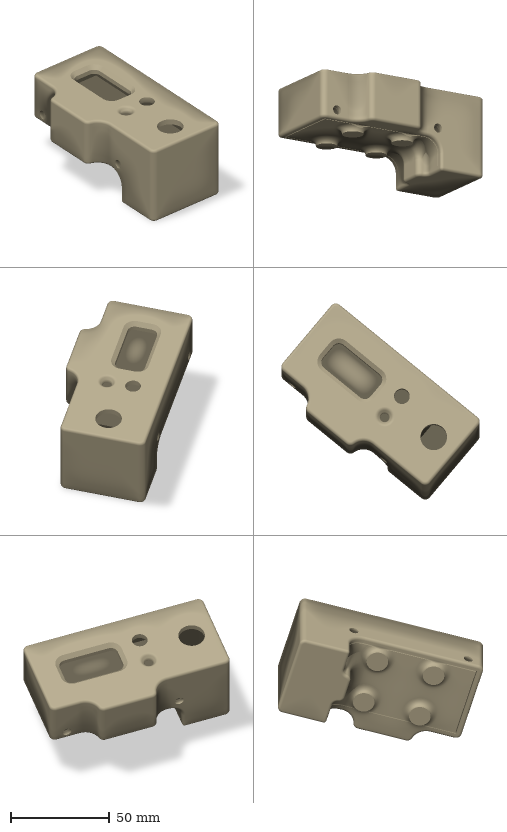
import cadquery as cq
import math

LENGTH = 97.2
DEPTH = 44.7
HEIGHT = 42.8
DECK_Z = 17.1
MID_Y = DEPTH / 2

CORNER_RADIUS = 3.0
EDGE_RADIUS = 1.5
SWEEP_RADIUS = 8.0

BULGE_REACH = 8.5
BULGE_X = 39.1
BULGE_FLAT = 25.4

LEG_X = 71.15
RIB_REACH = 5.0
RIB_FLAT = 10.0

WALL = 3.0
LID_GAP = 0.5
SIDE_WALL = 5.4
FLOOR_Z = 27.6
ROOF_Z = HEIGHT - WALL
LEG_PLATE = 2.9

WINDOW_X = 29.6
WINDOW_LENGTH = 35.5
WINDOW_WIDTH = 19.6
WINDOW_RADIUS = 5.8
WINDOW_CHAMFER = 2.0
WINDOW_DEPTH = 4.5

LARGE_HOLE_X = 83.8
LARGE_HOLE_DIAMETER = 13.5
SMALL_HOLE_X = 57.8
SMALL_HOLE_Y = 28.3
SMALL_HOLE_DIAMETER = 8.0
FUNNEL_X = SMALL_HOLE_X
FUNNEL_Y = 14.6
FUNNEL_DIAMETER = 4.5
FUNNEL_BLEND = 2.0
FUNNEL_SLOPE = 40.0
PIN_HOLE_XS = (8.6, 69.2)
PIN_HOLE_Z = 21.9
PIN_HOLE_DIAMETER = 4.8

FOOT_XS = (24.1, 53.85)
FOOT_OFFSET_Y = 12.5
FOOT_DIAMETER = 11.0
FOOT_HEIGHT = 3.3

OVERLAP = 1.0


def block(x0, x1, y0, y1, z0, z1):
    """Axis-parallel box between the given limits."""
    return cq.Workplane("XY").box(x1 - x0, y1 - y0, z1 - z0, centered=False).translate((x0, y0, z0))


def bump_face(reach, flat, base_radius, tip_radius):
    """Closed plan of a bump on the line y = 0, pointing to -y and centred on x = 0.

    Each side is a concave arc at the base running tangentially into a convex arc at the tip.
    """
    span = base_radius + tip_radius
    run = math.sqrt(span**2 - (span - reach) ** 2)
    turn = math.asin(run / span)
    tip_x = flat / 2
    base_x = tip_x + run
    meet_x = tip_x + tip_radius * math.sin(turn)
    meet_y = -reach + tip_radius * (1 - math.cos(turn))
    tip_mid_x = tip_x + tip_radius * math.sin(turn / 2)
    tip_mid_y = -reach + tip_radius * (1 - math.cos(turn / 2))
    base_mid_x = base_x - base_radius * math.sin(turn / 2)
    base_mid_y = -base_radius * (1 - math.cos(turn / 2))
    return (
        cq.Workplane("XY")
        .moveTo(base_x, 0)
        .threePointArc((base_mid_x, base_mid_y), (meet_x, meet_y))
        .threePointArc((tip_mid_x, tip_mid_y), (tip_x, -reach))
        .lineTo(-tip_x, -reach)
        .threePointArc((-tip_mid_x, tip_mid_y), (-meet_x, meet_y))
        .threePointArc((-base_mid_x, base_mid_y), (-base_x, 0))
        .lineTo(-base_x, OVERLAP)
        .lineTo(base_x, OVERLAP)
        .close()
    )


def stepped_block():
    """Upper block and leg in one profile, joined by a concave sweep."""
    arc_mid = SWEEP_RADIUS * (1 - math.sqrt(0.5))
    profile = (
        cq.Workplane("XZ")
        .moveTo(0, HEIGHT)
        .lineTo(0, DECK_Z)
        .lineTo(LEG_X - SWEEP_RADIUS, DECK_Z)
        .threePointArc((LEG_X - arc_mid, DECK_Z - arc_mid), (LEG_X, DECK_Z - SWEEP_RADIUS))
        .lineTo(LEG_X, 0)
        .lineTo(LENGTH, 0)
        .lineTo(LENGTH, HEIGHT)
        .close()
    )
    solid = profile.extrude(-DEPTH)
    return solid.edges("|Z and <X").fillet(CORNER_RADIUS).edges("|Z and >X").fillet(CORNER_RADIUS)


def front_bulge():
    plan = bump_face(BULGE_REACH, BULGE_FLAT, SWEEP_RADIUS, CORNER_RADIUS)
    return plan.extrude(HEIGHT - DECK_Z).translate((BULGE_X, 0, DECK_Z))


def leg_rib():
    plan = bump_face(RIB_REACH, RIB_FLAT, CORNER_RADIUS, CORNER_RADIUS)
    rib = plan.extrude(DECK_Z + OVERLAP)
    return rib.rotate((0, 0, 0), (0, 0, 1), -90).translate((LEG_X, MID_Y, 0))


def rib_flare():
    """Flare that carries the rib out into the underside of the upper block."""
    half_width = RIB_FLAT / 2 + CORNER_RADIUS
    left = LEG_X - RIB_REACH
    right = LEG_X + SWEEP_RADIUS
    front = MID_Y - half_width
    back = MID_Y + half_width
    margin = SWEEP_RADIUS + OVERLAP
    column = block(left, right, front, back, DECK_Z - margin, DECK_Z)
    column = column.edges("|Z").fillet(CORNER_RADIUS)
    plate = block(left - margin, right + margin, front - margin, back + margin, DECK_Z, DECK_Z + OVERLAP)
    around_column = cq.selectors.BoxSelector(
        (left - OVERLAP, front - OVERLAP, DECK_Z - OVERLAP / 2),
        (right + OVERLAP, back + OVERLAP, DECK_Z + OVERLAP / 2),
    )
    flared = plate.union(column).edges(around_column).fillet(SWEEP_RADIUS)
    return flared.intersect(
        block(left - margin, right, front - margin, back + margin, DECK_Z - SWEEP_RADIUS, DECK_Z + OVERLAP)
    )


def lower_rims():
    """Selector for the rims under the upper block, up the sides of the leg and around its bottom."""
    reach = CORNER_RADIUS / 2
    low = -OVERLAP
    high = DECK_Z + OVERLAP / 2
    front = cq.selectors.BoxSelector((low, -BULGE_REACH - reach, low), (LENGTH + reach, reach, high))
    back = cq.selectors.BoxSelector((low, DEPTH - reach, low), (LENGTH + reach, DEPTH + reach, high))
    left = cq.selectors.BoxSelector((low, low, low), (reach, DEPTH + reach, high))
    leg_bottom = cq.selectors.BoxSelector((0, 0, low), (LENGTH + OVERLAP, DEPTH, OVERLAP / 2))
    return front + back + left + leg_bottom


def outer_shape():
    """Closed outer form of housing and lid together, without feet."""
    solid = stepped_block().union(front_bulge()).union(leg_rib())
    solid = solid.faces(">Z").edges().fillet(EDGE_RADIUS)
    solid = solid.edges(lower_rims()).fillet(EDGE_RADIUS)
    return solid.union(rib_flare())


def pin_holes():
    """Two holes running front to back through housing and lid."""
    return (
        cq.Workplane("XZ")
        .pushPoints([(x, PIN_HOLE_Z) for x in PIN_HOLE_XS])
        .circle(PIN_HOLE_DIAMETER / 2)
        .extrude(-DEPTH)
    )


def window_outline(inset):
    """Rounded window outline, drawn in by the given inset."""
    return (
        cq.Sketch()
        .rect(WINDOW_LENGTH - 2 * inset, WINDOW_WIDTH - 2 * inset)
        .vertices()
        .fillet(WINDOW_RADIUS - inset)
    )


def window_prism(inset):
    """Straight prism of the window outline, from the inner end of the window to the top face."""
    base = cq.Workplane("XY", origin=(WINDOW_X, MID_Y, HEIGHT - WINDOW_DEPTH))
    return base.placeSketch(window_outline(inset)).extrude(WINDOW_DEPTH)


def window_opening():
    """Through opening with a 45 degree chamfer at the outside."""
    top = cq.Workplane("XY", origin=(WINDOW_X, MID_Y, HEIGHT))
    mouth = top.placeSketch(window_outline(0)).extrude(-WINDOW_CHAMFER, taper=45)
    return window_prism(WINDOW_CHAMFER).union(mouth)


def round_opening(x, y, diameter):
    return cq.Workplane("XY", origin=(x, y, FLOOR_Z)).circle(diameter / 2).extrude(HEIGHT - FLOOR_Z)


def funnel_opening():
    """Round hole widening upward through a rounded throat, a cone and a rounded mouth."""
    slope = math.radians(FUNNEL_SLOPE)
    bore = FUNNEL_DIAMETER / 2
    cone_height = WALL - FUNNEL_BLEND
    throat_x = bore + FUNNEL_BLEND
    mouth_x = throat_x + cone_height * math.tan(slope)
    mouth_z = HEIGHT - FUNNEL_BLEND

    def rounding(center_x, center_z, angle):
        """Point of a rounding, with the angle measured from the side facing the axis."""
        return (center_x - FUNNEL_BLEND * math.cos(angle), center_z + FUNNEL_BLEND * math.sin(angle))

    return (
        cq.Workplane("XZ")
        .moveTo(0, FLOOR_Z)
        .lineTo(bore, FLOOR_Z)
        .lineTo(bore, ROOF_Z)
        .threePointArc(rounding(throat_x, ROOF_Z, slope / 2), rounding(throat_x, ROOF_Z, slope))
        .lineTo(*rounding(mouth_x, mouth_z, slope))
        .threePointArc(rounding(mouth_x, mouth_z, (slope + math.pi / 2) / 2), (mouth_x, HEIGHT))
        .lineTo(0, HEIGHT)
        .close()
        .revolve(360, (0, 0), (0, 1))
        .translate((FUNNEL_X, FUNNEL_Y, 0))
    )


def make_housing(shape):
    """Hollow upper shell that reaches down around the leg to the lid's bottom plate."""
    lid_room = block(WALL, LENGTH - WALL, WALL, DEPTH - WALL, 0, FLOOR_Z)
    lid_room = lid_room.union(block(0, LENGTH, 0, DEPTH, 0, LEG_PLATE))
    cavity = block(WALL, LENGTH - WALL, SIDE_WALL, DEPTH - SIDE_WALL, FLOOR_Z, ROOF_Z)
    cavity = cavity.cut(window_prism(0))
    return (
        shape.cut(lid_room)
        .cut(cavity)
        .cut(window_opening())
        .cut(round_opening(LARGE_HOLE_X, MID_Y, LARGE_HOLE_DIAMETER))
        .cut(round_opening(SMALL_HOLE_X, SMALL_HOLE_Y, SMALL_HOLE_DIAMETER))
        .cut(funnel_opening())
        .cut(pin_holes())
    )


def feet():
    """Four round feet, each widening along a quarter arc into the underside of the lid."""
    radius = FOOT_DIAMETER / 2
    bottom = DECK_Z - FOOT_HEIGHT
    arc_mid = FOOT_HEIGHT * (1 - math.sqrt(0.5))
    foot = (
        cq.Workplane("XZ")
        .moveTo(0, bottom)
        .lineTo(radius, bottom)
        .threePointArc((radius + arc_mid, DECK_Z - arc_mid), (radius + FOOT_HEIGHT, DECK_Z))
        .lineTo(0, DECK_Z)
        .close()
        .revolve(360, (0, 0), (0, 1))
    )
    placed = cq.Workplane("XY")
    for x in FOOT_XS:
        for y in (MID_Y - FOOT_OFFSET_Y, MID_Y + FOOT_OFFSET_Y):
            placed = placed.add(foot.translate((x, y, 0)))
    return placed.combine()


def make_lid(shape):
    """Thick cover under the cavity, hollow inside the leg and closing it with a full bottom plate."""
    edge = WALL + LID_GAP
    room = block(edge, LENGTH - edge, edge, DEPTH - edge, 0, FLOOR_Z)
    room = room.union(block(0, LENGTH, 0, DEPTH, 0, LEG_PLATE))
    leg_pocket = block(
        LEG_X + WALL, LENGTH - edge, SIDE_WALL + LID_GAP, DEPTH - SIDE_WALL - LID_GAP, LEG_PLATE, FLOOR_Z
    )
    body = shape.intersect(room).cut(leg_pocket).cut(pin_holes())
    return body.union(feet().intersect(room))


outer = outer_shape()
housing = make_housing(outer)
lid = make_lid(outer)

result = cq.Compound.makeCompound([housing.solids().val(), lid.solids().val()])